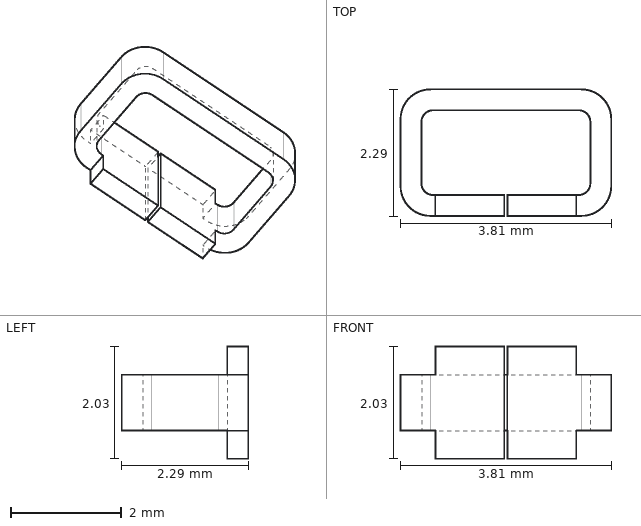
import cadquery as cq

length = 3.81
depth = 2.29
band_height = 1.015
wall = 0.38
outer_radius = 0.54
inner_radius = 0.21

plate_height = 2.03
plates_span = 2.545
split_gap = 0.057


def rounded_block(size_x, size_y, radius):
    """Band-high block with rounded vertical edges, centred on the origin."""
    return cq.Workplane("XY").box(size_x, size_y, band_height).edges("|Z").fillet(radius)


def make_band():
    outer = rounded_block(length, depth, outer_radius)
    opening = rounded_block(length - 2 * wall, depth - 2 * wall, inner_radius)
    return outer.cut(opening)


def front_wall_block(width, height):
    """Block as thick as the wall, lying within the front wall."""
    front_wall_y = -(depth - wall) / 2
    return cq.Workplane("XY").box(width, wall, height).translate((0, front_wall_y, 0))


plates = front_wall_block(plates_span, plate_height)
split = front_wall_block(split_gap, plate_height)

result = make_band().union(plates).cut(split)